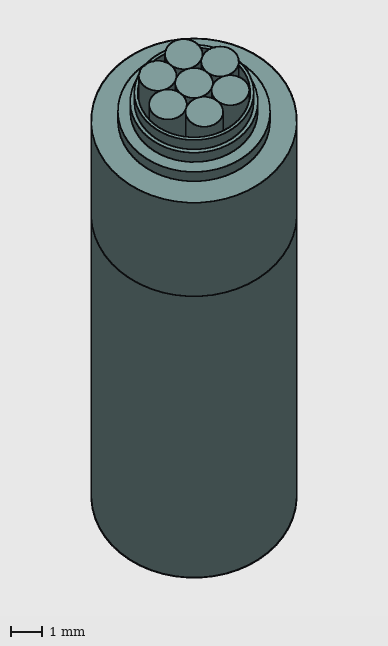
import cadquery as cq
import math

total_height = 22.0
jacket_radius = 3.3
lower_height = 15.0
jacket_top = 20.0

layer_radii = [2.45, 2.05, 1.91]
step_height = (total_height - jacket_top) / (len(layer_radii) + 1)

bore_radius = 1.8
strand_radius = bore_radius / 3
strand_pitch_radius = 2 * strand_radius
outer_strand_count = 6
first_strand_angle = 90.0


def cylinder(radius, bottom, top):
    """Upright cylinder on the cable axis."""
    return cq.Workplane("XY").workplane(offset=bottom).circle(radius).extrude(top - bottom)


def make_lower_length():
    """Plain cylinder that the strands and the stripped end stand on."""
    return cylinder(jacket_radius, 0, lower_height)


def make_stripped_end():
    """Jacket with its layers stepping inwards, bored through for the strands."""
    body = cylinder(jacket_radius, lower_height, jacket_top)
    for index, radius in enumerate(layer_radii):
        layer_top = jacket_top + (index + 1) * step_height
        body = body.union(cylinder(radius, lower_height, layer_top))
    return body.cut(cylinder(bore_radius, lower_height, total_height))


def make_strand(x, y):
    """One strand, from the bottom of the bore to the top of the cable."""
    return cylinder(strand_radius, lower_height, total_height).translate((x, y, 0))


lower_length = make_lower_length()
stripped_end = make_stripped_end()

strands = [make_strand(0, 0)]
for index in range(outer_strand_count):
    angle = math.radians(first_strand_angle + index * 360 / outer_strand_count)
    strand_x = strand_pitch_radius * math.cos(angle)
    strand_y = strand_pitch_radius * math.sin(angle)
    strands.append(make_strand(strand_x, strand_y))

result = cq.Compound.makeCompound(
    [lower_length.val(), stripped_end.val()] + [strand.val() for strand in strands]
)